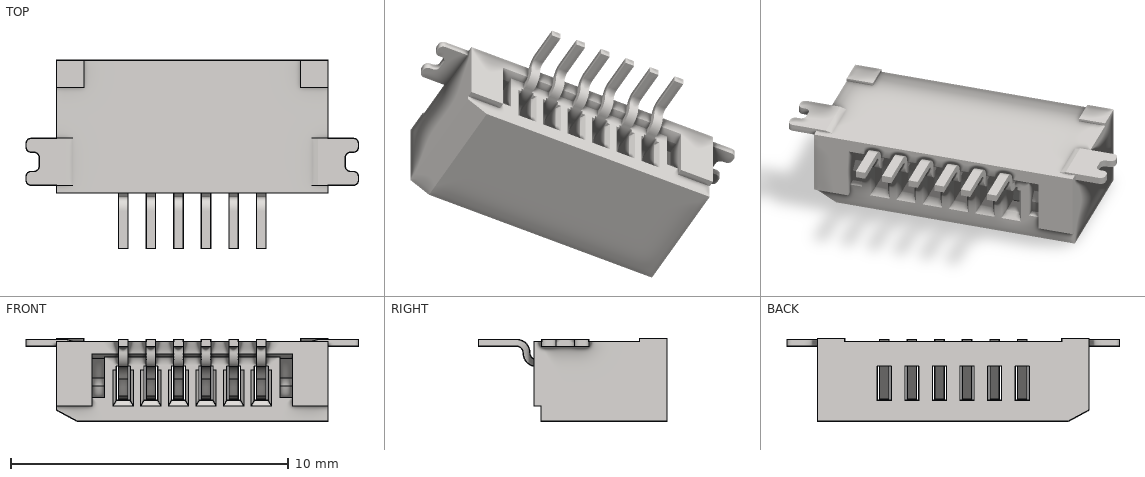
import cadquery as cq
import math


body_width = 9.8
body_depth = 4.8
body_height = 2.89
key_width = 0.75
key_height = 0.41
pad_size = 1.0
pad_height = 0.11

recess_width = 7.22
recess_depth = 0.25
recess_floor = 0.55
recess_ceiling = 2.42
ceiling_slope = 0.4

pocket_width = 0.45
pocket_floor = 0.86
pocket_step_low = 1.27
pocket_step_high = 1.56
pocket_ceiling = 2.27
pocket_low_depth = 0.31
pocket_high_depth = pocket_low_depth + pocket_step_high - pocket_step_low

contact_count = 6
pitch = 1.0
slot_width = 0.49
slot_floor = 0.77
slot_top = 1.99
mouth_width = 0.73
mouth_floor = recess_floor
mouth_top = 1.86
mouth_depth = 0.2

metal = 0.25
metal_top = 2.96
contact_width = 0.35
lead_reach = 2.0
bend_radius = 0.24
bend_offset = 0.15
hook_radius = 0.24
hook_start = 0.96
hook_sweep = math.radians(155)
shin_lean = math.radians(10)
shin_top = 1.27
nose_z = 0.92
nose_setback = 0.12
contact_bottom = 0.8

span = 12.0
tab_length = 1.68
tab_width = 1.7
tab_front = 0.28
tab_ramp = 0.23
notch_width = 0.68
notch_depth = 0.48
tab_fillet = 0.19


def extrude_x(profile, width, center_x):
    """Extrude a closed YZ profile along X, centred on center_x."""
    return profile.extrude(width / 2, both=True).translate((center_x, 0, 0))


def box(x_size, y_size, z_size, center_x, y_min, z_min):
    """Box centred on center_x, with its front bottom edge at y_min, z_min."""
    return cq.Workplane("XY").box(x_size, y_size, z_size, centered=(True, False, False)).translate(
        (center_x, y_min, z_min)
    )


def make_housing():
    half = body_width / 2
    housing = (
        cq.Workplane("XZ")
        .polyline([
            (-half, key_height),
            (-half + key_width, 0),
            (half, 0),
            (half, body_height),
            (-half, body_height),
        ])
        .close()
        .extrude(-body_depth)
    )
    for side in (-1, 1):
        pad_x = side * (half - pad_size / 2)
        housing = housing.union(
            box(pad_size, pad_size, pad_height, pad_x, body_depth - pad_size, body_height)
        )
    return housing


def make_recess():
    step = box(body_width, recess_depth, recess_floor, 0, 0, 0)
    profile = (
        cq.Workplane("YZ")
        .polyline([
            (0, 0),
            (recess_depth, 0),
            (recess_depth, recess_ceiling - ceiling_slope * recess_depth),
            (0, recess_ceiling),
        ])
        .close()
    )
    return step.union(extrude_x(profile, recess_width, 0))


def make_pocket(side):
    low_wall = recess_depth + pocket_low_depth
    high_wall = recess_depth + pocket_high_depth
    slope_end = (recess_ceiling - pocket_ceiling) / ceiling_slope
    profile = (
        cq.Workplane("YZ")
        .polyline([
            (recess_depth, pocket_floor),
            (low_wall, pocket_floor),
            (low_wall, pocket_step_low),
            (high_wall, pocket_step_high),
            (high_wall, pocket_ceiling),
            (slope_end, pocket_ceiling),
            (recess_depth, recess_ceiling - ceiling_slope * recess_depth),
        ])
        .close()
    )
    return extrude_x(profile, pocket_width, side * (recess_width - pocket_width) / 2)


def make_slot(x):
    """Through slot with a mouth that flares at the bottom and both sides."""
    slot = box(slot_width, body_depth - recess_depth, slot_top - slot_floor, x, recess_depth, slot_floor)
    mouth = (
        cq.Workplane("XZ", origin=(x, recess_depth, 0))
        .center(0, (mouth_floor + mouth_top) / 2)
        .rect(mouth_width, mouth_top - mouth_floor)
        .workplane(offset=-mouth_depth)
        .center(0, (slot_floor - mouth_floor) / 2)
        .rect(slot_width, mouth_top - slot_floor)
        .loft(ruled=True)
    )
    return slot.union(mouth)


def make_contact(x):
    """Lead with an S-bend that enters the housing and hooks down into its slot."""
    outer_radius = bend_radius + metal
    lead_bottom = metal_top - metal
    bend_z = lead_bottom - bend_radius
    arm_top = bend_z - bend_radius
    arm_bottom = arm_top - metal
    upper_y = -bend_offset - outer_radius
    lower_y = -bend_offset + bend_radius
    hook_back = hook_start + hook_radius
    back_y = hook_back + metal

    hook_z = arm_bottom - hook_radius
    lip_y = hook_start + hook_radius * math.sin(hook_sweep)
    lip_z = hook_z + hook_radius * math.cos(hook_sweep)
    hollow = (lip_z - shin_top) / 2 * math.tan(shin_lean / 2)
    nose_y = lip_y - (shin_top - nose_z) * math.tan(shin_lean)

    profile = (
        cq.Workplane("YZ")
        .moveTo(-lead_reach, lead_bottom)
        .lineTo(-lead_reach, metal_top)
        .lineTo(upper_y, metal_top)
        .tangentArcPoint((-bend_offset, bend_z), relative=False)
        .tangentArcPoint((lower_y, arm_top), relative=False)
        .lineTo(back_y, arm_top)
        .lineTo(back_y, contact_bottom)
        .lineTo(nose_y + nose_setback, contact_bottom)
        .lineTo(nose_y, nose_z)
        .lineTo(lip_y, shin_top)
        .threePointArc((lip_y + hollow, (lip_z + shin_top) / 2), (lip_y, lip_z))
        .threePointArc((hook_back, hook_z), (hook_start, arm_bottom))
        .lineTo(lower_y, arm_bottom)
        .tangentArcPoint((lower_y - outer_radius, bend_z), relative=False)
        .tangentArcPoint((upper_y, lead_bottom), relative=False)
        .close()
    )
    return extrude_x(profile, contact_width, x)


def make_tab():
    """Left solder tab: notched outer end, inner end ramping down to the housing top."""
    outer_x = -span / 2
    inner_x = outer_x + tab_length
    tab = (
        cq.Workplane("XZ", origin=(0, tab_front, 0))
        .polyline([
            (outer_x, metal_top - metal),
            (inner_x, metal_top - metal),
            (inner_x, body_height),
            (inner_x - tab_ramp, metal_top),
            (outer_x, metal_top),
        ])
        .close()
        .extrude(-tab_width)
    )
    notch_y = tab_front + (tab_width - notch_width) / 2
    notch = box(2 * notch_depth, notch_width, metal, outer_x, notch_y, metal_top - metal)
    tab = tab.cut(notch)
    rounded_zone = cq.selectors.BoxSelector(
        (outer_x - tab_fillet, 0, 0),
        (outer_x + notch_depth + tab_fillet, body_depth, body_height + metal),
    )
    return tab.edges("|Z").edges(rounded_zone).fillet(tab_fillet)


result = make_housing().cut(make_recess())
for side in (-1, 1):
    result = result.cut(make_pocket(side))

for index in range(contact_count):
    contact_x = (index - (contact_count - 1) / 2) * pitch
    result = result.cut(make_slot(contact_x)).union(make_contact(contact_x))

left_tab = make_tab()
result = result.union(left_tab).union(left_tab.mirror("YZ"))